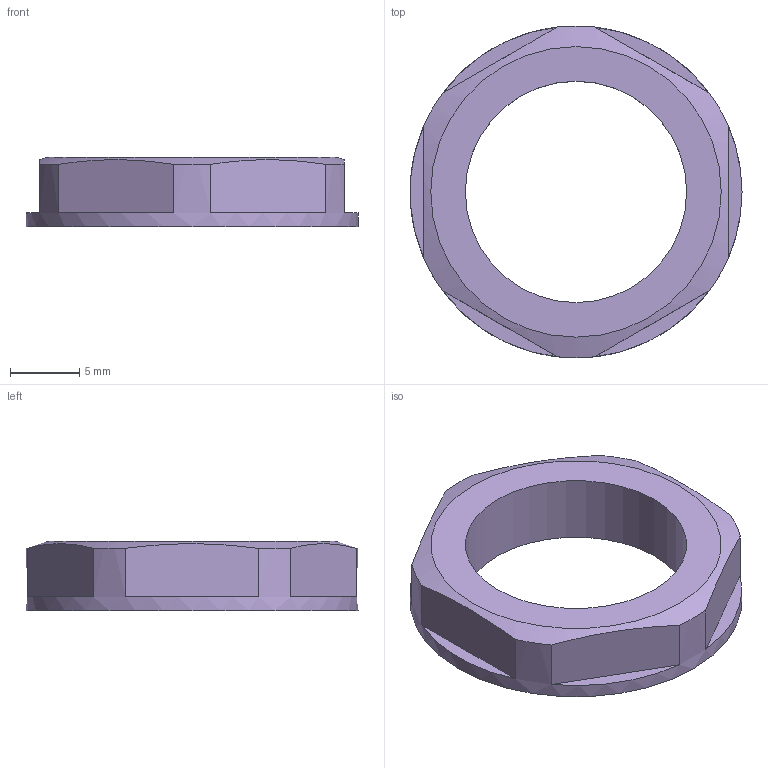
import cadquery as cq

outer_diameter = 24.0
total_height = 5.0
bore_diameter = 16.0

top_face_diameter = 21.0
chamfer_height = 0.5

flange_height = 1.0
across_flats = 22.0
flat_count = 6
hexagon_height = total_height - flange_height

cutter_clearance = 1.0


def turned_blank():
    """Bored ring with a conical chamfer around its top edge."""
    profile = [
        (bore_diameter / 2, 0),
        (outer_diameter / 2, 0),
        (outer_diameter / 2, total_height - chamfer_height),
        (top_face_diameter / 2, total_height),
        (bore_diameter / 2, total_height),
    ]
    return cq.Workplane("XZ").polyline(profile).close().revolve(360, (0, 0), (0, 1))


def flat_cutter():
    """Round plate with a hexagonal opening, two of whose sides face -X and +X."""
    return (
        cq.Workplane("XY", origin=(0, 0, flange_height))
        .circle(outer_diameter / 2 + cutter_clearance)
        .polygon(flat_count, across_flats, circumscribed=True)
        .extrude(hexagon_height)
    )


result = turned_blank().cut(flat_cutter())